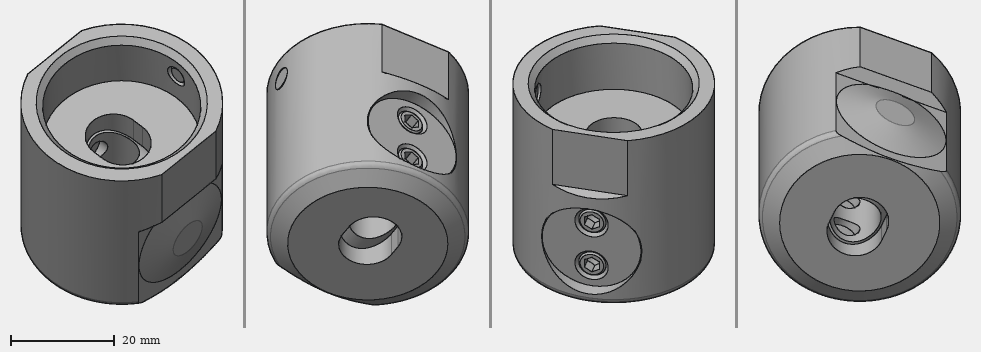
import math

import cadquery as cq

X_DIRECTION = cq.Vector(1, 0, 0)

HOUSING_HEIGHT = 40.5
HOUSING_RADIUS = 39.0 / 2
HOUSING_WIDTH = 37.5
BASE_RADIUS = 15.47
BASE_SLOPE = math.tan(math.radians(30))
BASE_FILLET = 1.4

CUP_RADIUS = 15.25
CUP_DEPTH = 12.15
CUP_CHAMFER = 1.25
CUP_FLOOR_Z = HOUSING_HEIGHT - CUP_DEPTH

FLAT_X = HOUSING_WIDTH - HOUSING_RADIUS
LEFT_FLAT_BOTTOM = 27.55
RIGHT_FLAT_BOTTOM = 25.85
RECESS_X = 15.67
SHOULDER_SLOPE = math.tan(math.radians(30))
CUTTER_X = HOUSING_RADIUS + 4.05

BARREL_Z = 14.05
BARREL_RADIUS = 9.85
BARREL_HOLE_RADIUS = 10.0
BARREL_LEFT_X = -16.9
BARREL_LENGTH = RECESS_X - BARREL_LEFT_X

ROD_X = -2.2
ROD_HOLE_RADIUS = 5.0
SLOT_RADIUS = 5.45
SLOT_TRAVEL = 2.47

CAP_BASE_RADIUS = 11.45
CAP_TIP_RADIUS = 4.05
CAP_HEIGHT = 2.02

CLAMP_RADIUS = 2.7
CLAMP_CHAMFER = 0.35
CLAMP_LENGTH = 8.1
CLAMP_OFFSET = 5.02
CLAMP_SINK = 0.25
COUNTERSINK_DEPTH = 0.6
COUNTERSINK_TAPER = 45
SOCKET_CORNERS = 3.45
SOCKET_DEPTH = 2.23
DRILL_SLOPE = math.tan(math.radians(30))

LOCK_Z = 35.05
LOCK_RADIUS = 2.25
LOCK_CHAMFER = 0.6
LOCK_TIP_Y = 15.55
LOCK_OUTER_Y = 19.35


def plane_along_x(x, z):
    """Workplane at the given X whose origin lies at Y = 0 and height z, extruding toward +X."""
    return cq.Workplane(cq.Plane(origin=(x, 0, z), xDir=(0, 1, 0), normal=(1, 0, 0)))


def lock_plane(y):
    """Workplane at the given Y, centred on the lock screw axis and extruding toward +Y."""
    return cq.Workplane(cq.Plane(origin=(0, y, LOCK_Z), xDir=(1, 0, 0), normal=(0, 1, 0)))


def make_turned_housing():
    corner_z = (HOUSING_RADIUS - BASE_RADIUS) * BASE_SLOPE
    profile = [
        (0, 0),
        (BASE_RADIUS, 0),
        (HOUSING_RADIUS, corner_z),
        (HOUSING_RADIUS, HOUSING_HEIGHT),
        (0, HOUSING_HEIGHT),
    ]
    body = cq.Workplane("XZ").polyline(profile).close().revolve(360, (0, 0), (0, 1))
    corner_edge = cq.selectors.NearestToPointSelector((0, 0, corner_z))
    body = body.edges("%CIRCLE").edges(corner_edge).fillet(BASE_FILLET)
    cup = cq.Workplane("XY", origin=(0, 0, CUP_FLOOR_Z)).circle(CUP_RADIUS).extrude(CUP_DEPTH)
    body = body.cut(cup)
    cup_rim = cq.selectors.RadiusNthSelector(0)
    return body.faces(">Z").edges(cup_rim).chamfer(CUP_CHAMFER)


def make_side_cutter(outline):
    return cq.Workplane("XZ").polyline(outline).close().extrude(CUTTER_X, both=True)


def make_left_flat():
    """Flat from the rim down, its lower shoulder sloping outward and down."""
    shoulder_drop = (CUTTER_X - FLAT_X) * SHOULDER_SLOPE
    return make_side_cutter([
        (-FLAT_X, HOUSING_HEIGHT),
        (-FLAT_X, LEFT_FLAT_BOTTOM),
        (-CUTTER_X, LEFT_FLAT_BOTTOM - shoulder_drop),
        (-CUTTER_X, HOUSING_HEIGHT),
    ])


def make_right_flat():
    return make_side_cutter([
        (FLAT_X, 0),
        (FLAT_X, HOUSING_HEIGHT),
        (CUTTER_X, HOUSING_HEIGHT),
        (CUTTER_X, 0),
    ])


def make_right_recess():
    """Deeper flat from the bottom up, its upper shoulder sloping outward and up."""
    return make_side_cutter([
        (RECESS_X, 0),
        (RECESS_X, RIGHT_FLAT_BOTTOM - (FLAT_X - RECESS_X) * SHOULDER_SLOPE),
        (CUTTER_X, RIGHT_FLAT_BOTTOM + (CUTTER_X - FLAT_X) * SHOULDER_SLOPE),
        (CUTTER_X, 0),
    ])


def make_rod_slot():
    """Slot through the base, one end concentric with the rod hole."""
    return (
        cq.Workplane("XY")
        .center(ROD_X + SLOT_TRAVEL / 2, 0)
        .slot2D(SLOT_TRAVEL + 2 * SLOT_RADIUS, 2 * SLOT_RADIUS)
        .extrude(CUP_FLOOR_Z)
    )


def make_housing():
    left_side = plane_along_x(-HOUSING_RADIUS, BARREL_Z)
    barrel_hole = left_side.circle(BARREL_HOLE_RADIUS).extrude(2 * HOUSING_RADIUS)
    lock_hole = lock_plane(0).circle(LOCK_RADIUS).extrude(HOUSING_RADIUS)
    body = make_turned_housing()
    for flat in (make_left_flat(), make_right_flat(), make_right_recess()):
        body = body.cut(flat)
    for hole in (barrel_hole, make_rod_slot(), lock_hole):
        body = body.cut(hole)
    return body


def clamp_heights():
    return [BARREL_Z + side * CLAMP_OFFSET for side in (-1, 1)]


def make_barrel():
    body = plane_along_x(BARREL_LEFT_X, BARREL_Z).circle(BARREL_RADIUS).extrude(BARREL_LENGTH)
    rod_hole = cq.Workplane("XY").center(ROD_X, 0).circle(ROD_HOLE_RADIUS).extrude(HOUSING_HEIGHT)
    body = body.cut(rod_hole)
    for z in clamp_heights():
        hole = plane_along_x(BARREL_LEFT_X, z).circle(CLAMP_RADIUS).extrude(ROD_X - BARREL_LEFT_X)
        countersink = (
            plane_along_x(BARREL_LEFT_X, z)
            .circle(CLAMP_RADIUS + COUNTERSINK_DEPTH)
            .extrude(COUNTERSINK_DEPTH, taper=COUNTERSINK_TAPER)
        )
        body = body.cut(hole).cut(countersink)
    return body


def make_cap():
    """Cone frustum standing on the recess flat, trimmed where it meets the sloping shoulder."""
    cone = cq.Solid.makeCone(
        CAP_BASE_RADIUS, CAP_TIP_RADIUS, CAP_HEIGHT, cq.Vector(RECESS_X, 0, BARREL_Z), X_DIRECTION
    )
    return cq.Workplane(cone).intersect(make_right_recess())


def make_clamp_screw(z):
    """Set screw along X with a hexagon socket that ends in a drill cone."""
    face_x = BARREL_LEFT_X + CLAMP_SINK
    screw = plane_along_x(face_x, z).circle(CLAMP_RADIUS).extrude(CLAMP_LENGTH)
    screw = screw.faces("<X").chamfer(CLAMP_CHAMFER)
    drill_radius = SOCKET_CORNERS / 2
    cone_height = drill_radius * DRILL_SLOPE
    shank = cq.Solid.makeCylinder(drill_radius, SOCKET_DEPTH, cq.Vector(face_x, 0, z), X_DIRECTION)
    point = cq.Solid.makeCone(
        drill_radius, 0, cone_height, cq.Vector(face_x + SOCKET_DEPTH, 0, z), X_DIRECTION
    )
    drill = cq.Workplane(shank).union(cq.Workplane(point))
    hexagon = (
        plane_along_x(face_x, z)
        .transformed(rotate=(0, 0, 90))
        .polygon(6, SOCKET_CORNERS)
        .extrude(SOCKET_DEPTH + cone_height)
    )
    return screw.cut(hexagon.intersect(drill))


def make_lock_screw():
    screw = lock_plane(LOCK_TIP_Y).circle(LOCK_RADIUS).extrude(LOCK_OUTER_Y - LOCK_TIP_Y)
    return screw.faces("<Y").chamfer(LOCK_CHAMFER)


housing = make_housing()
barrel = make_barrel()
cap = make_cap()
clamp_screws = [make_clamp_screw(z) for z in clamp_heights()]
lock_screw = make_lock_screw()

result = cq.Compound.makeCompound([
    housing.val(),
    barrel.val(),
    cap.val(),
    *[screw.val() for screw in clamp_screws],
    lock_screw.val(),
])